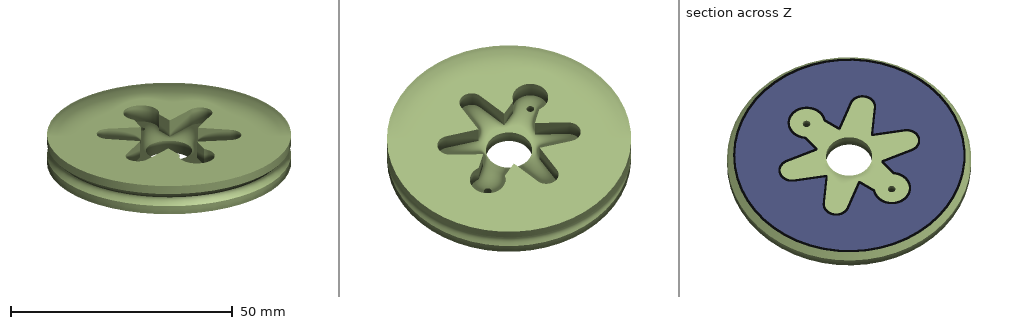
import cadquery as cq
import math

wheel_diameter = 55.0
wheel_thickness = 7.0
rim_width = 2.0
groove_depth = wheel_thickness / 2 - rim_width
bore_diameter = 10.4

pocket_depth = 4.0
arm_count = 6
valley_radius = 7.4
arm_tip_distance = 13.55
arm_tip_radius = 2.75

lobe_distance = 13.05
lobe_radius = 4.0
pin_hole_diameter = 1.7


def make_wheel():
    """Revolve the half section of the disc with its V-groove."""
    radius = wheel_diameter / 2
    section = (
        cq.Workplane("XZ")
        .lineTo(radius, 0)
        .lineTo(radius, rim_width)
        .lineTo(radius - groove_depth, wheel_thickness / 2)
        .lineTo(radius, wheel_thickness - rim_width)
        .lineTo(radius, wheel_thickness)
        .lineTo(0, wheel_thickness)
        .close()
    )
    return section.revolve(360, (0, 0, 0), (0, 1, 0))


def make_arm(pocket_floor):
    """Tapered arm along +X whose sides run tangent into its round tip."""
    half_pitch = math.pi / arm_count
    root_x = valley_radius * math.cos(half_pitch)
    root_y = valley_radius * math.sin(half_pitch)
    run = arm_tip_distance - root_x
    line_to_center = math.atan2(root_y, run)
    taper = line_to_center - math.asin(arm_tip_radius / math.hypot(run, root_y))
    tangent_x = arm_tip_distance + arm_tip_radius * math.sin(taper)
    tangent_y = arm_tip_radius * math.cos(taper)
    return (
        pocket_floor.lineTo(root_x, -root_y)
        .lineTo(tangent_x, -tangent_y)
        .threePointArc((arm_tip_distance + arm_tip_radius, 0), (tangent_x, tangent_y))
        .lineTo(root_x, root_y)
        .close()
        .extrude(pocket_depth)
    )


def make_pocket():
    """Join the arms and the two enlarged ends into one cutter."""
    pocket_floor = cq.Workplane("XY", origin=(0, 0, wheel_thickness - pocket_depth))
    arm = make_arm(pocket_floor)
    pocket = pocket_floor.pushPoints(lobe_centers).circle(lobe_radius).extrude(pocket_depth)
    for index in range(arm_count):
        pocket = pocket.union(arm.rotate((0, 0, 0), (0, 0, 1), index * 360 / arm_count))
    return pocket


lobe_centers = [(-lobe_distance, 0), (lobe_distance, 0)]
bore = cq.Workplane("XY").circle(bore_diameter / 2).extrude(wheel_thickness)
pin_holes = (
    cq.Workplane("XY")
    .pushPoints(lobe_centers)
    .circle(pin_hole_diameter / 2)
    .extrude(wheel_thickness)
)

result = make_wheel().cut(make_pocket()).cut(bore).cut(pin_holes)